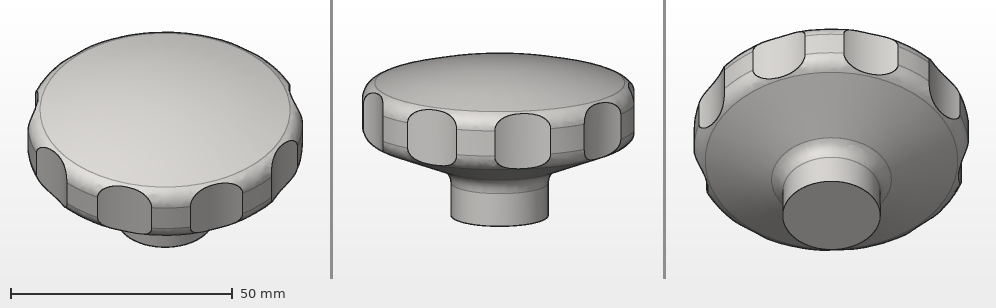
import cadquery as cq
import math

height = 35.0
rim_radius = 31.0
stem_radius = 11.0

stem_top_z = 10.3
rim_bottom_z = 18.3

dome_radius = 94.0
edge_radius = 4.0

scallop_count = 9
scallop_radius = 16.0
scallop_floor_radius = 29.0
first_scallop_angle = -90.0


def dome_z(radius):
    """Height of the crown surface at a distance from the knob axis."""
    return height - dome_radius + math.sqrt(dome_radius**2 - radius**2)


def make_body():
    """Revolve stem, cone, rim and crown, then round the three circular corners."""
    half_radius = rim_radius / 2
    rim_top_z = dome_z(rim_radius)
    profile = (
        cq.Workplane("XZ")
        .lineTo(stem_radius, 0)
        .lineTo(stem_radius, stem_top_z)
        .lineTo(rim_radius, rim_bottom_z)
        .lineTo(rim_radius, rim_top_z)
        .threePointArc((half_radius, dome_z(half_radius)), (0, height))
        .close()
    )
    body = profile.revolve(360, (0, 0), (0, 1))
    for corner_z in (stem_top_z, rim_bottom_z, rim_top_z):
        corner = cq.selectors.NearestToPointSelector((0, 0, corner_z))
        body = body.edges("%CIRCLE").edges(corner).fillet(edge_radius)
    return body


def make_scallops():
    """Vertical cylinders evenly spaced around the rim, used as cutters."""
    centre_distance = scallop_floor_radius + scallop_radius
    return (
        cq.Workplane("XY")
        .polarArray(centre_distance, first_scallop_angle, 360, scallop_count)
        .circle(scallop_radius)
        .extrude(height)
    )


result = make_body().cut(make_scallops())